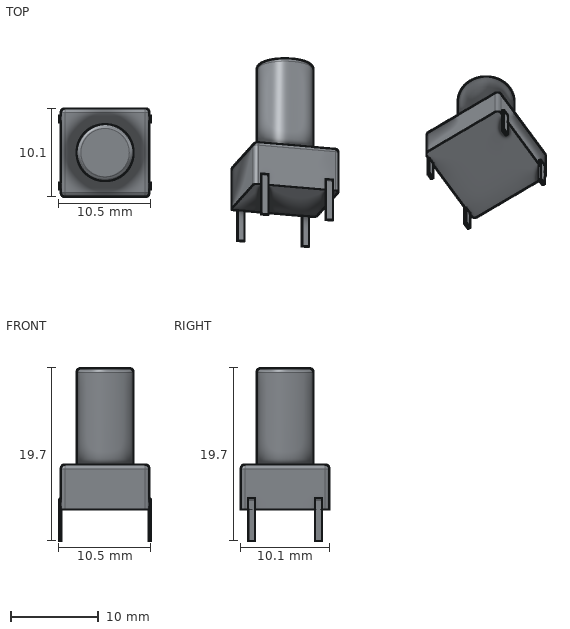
import cadquery as cq

housing_side = 10.1
housing_bottom = 3.59
housing_top = 8.73
housing_round = 0.5

button_diameter = 6.5
button_top = 19.7
button_round = 0.5

pin_span = 10.46
pin_thickness = 0.3
pin_width = 0.8
pin_top = 4.89
pin_round = 0.25
pin_row_spacing = 7.62


def make_pin(side, y):
    """Pin on the wall at side -1 or +1, its upper outer edge rounded."""
    pin = cq.Workplane("XY").box(pin_thickness, pin_width, pin_top, centered=(True, True, False))
    outer_face = ">X" if side > 0 else "<X"
    pin = pin.faces(outer_face).edges(">Z").fillet(pin_round)
    return pin.translate((side * (pin_span - pin_thickness) / 2, y, 0))


def make_housing(pins):
    """Rounded block with a matching recess for each pin."""
    block = (
        cq.Workplane("XY")
        .workplane(offset=housing_bottom)
        .rect(housing_side, housing_side)
        .extrude(housing_top - housing_bottom)
        .edges("|Z or >Z")
        .fillet(housing_round)
    )
    for pin in pins:
        block = block.cut(pin)
    return block


def make_button():
    """Plain cylinder with a rounded top rim, resting on the housing."""
    return (
        cq.Workplane("XY")
        .workplane(offset=housing_top)
        .circle(button_diameter / 2)
        .extrude(button_top - housing_top)
        .faces(">Z")
        .edges()
        .fillet(button_round)
    )


pins = []
for side in (-1, 1):
    for row in (-1, 1):
        pins.append(make_pin(side, row * pin_row_spacing / 2))

housing = make_housing(pins)
button = make_button()

result = cq.Compound.makeCompound([housing.val(), button.val(), *[pin.val() for pin in pins]])